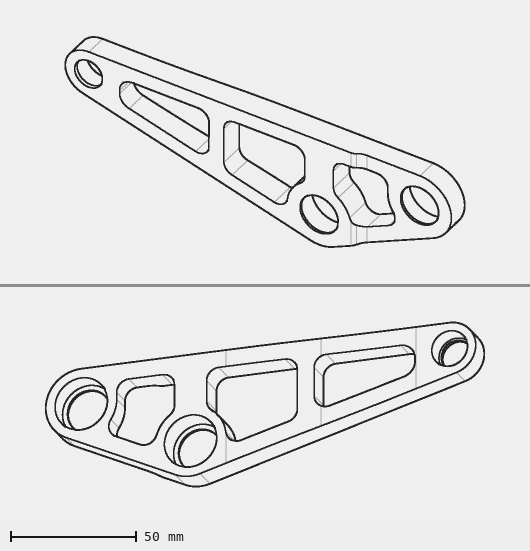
import cadquery as cq
import math

length = 181.0
height = 52.0
depth = 12.0
face_offset = 2.0
small_radius = 11.0
boss_radius = 15.0
rim = 7.0
wide_rib = 13.5
corner_radius = 5.0
left_corner_radius = 6.0

left_eye = (small_radius, -small_radius)
middle_eye = (119.8, boss_radius - height)
right_eye = (length - boss_radius, -boss_radius)

small_lip_depth = 1.8
large_lip_depth = 1.0
small_lip_diameter = 13.0
small_seat_diameter = 15.0
large_lip_diameter = 18.0
large_seat_diameter = 22.0

first_window_left = 25.7
first_window_right = 67.9
second_window_left = first_window_right + rim
second_window_right = middle_eye[0] - wide_rib / 2
third_window_left = middle_eye[0] + wide_rib / 2
third_window_right = right_eye[0] - boss_radius

front_step_start = 134.8
front_step_middle = 137.0
front_step_end = 141.0
back_rise = 1.6
back_slope_start = 25.3
back_slope_end = 105.0


def lower_tangent(center_a, radius_a, center_b, radius_b):
    """Return the downward unit normal of the line touching two circles from below."""
    dx = center_b[0] - center_a[0]
    dz = center_b[1] - center_a[1]
    angle = math.atan2(dz, dx) - math.pi / 2
    angle -= math.asin((radius_b - radius_a) / math.hypot(dx, dz))
    return math.cos(angle), math.sin(angle)


def along(center, direction, distance):
    """Point at a distance from a centre in a unit direction."""
    return center[0] + distance * direction[0], center[1] + distance * direction[1]


def toward(center, angle):
    """Point on the boss circle around a centre at an angle in radians."""
    return along(center, (math.cos(angle), math.sin(angle)), boss_radius)


def middle_angle(angle_a, angle_b):
    """Angle halfway between two angles."""
    return (angle_a + angle_b) / 2


left_normal = lower_tangent(left_eye, small_radius, middle_eye, boss_radius)
right_normal = lower_tangent(middle_eye, boss_radius, right_eye, boss_radius)
left_normal_angle = math.atan2(left_normal[1], left_normal[0])
right_normal_angle = math.atan2(right_normal[1], right_normal[0])
inner_reach = boss_radius - rim


def outline():
    """Arm silhouette: lines tangent to the three rounded eyes."""
    return (
        cq.Workplane("XZ")
        .moveTo(left_eye[0], 0)
        .lineTo(right_eye[0], 0)
        .threePointArc((length, right_eye[1]), along(right_eye, right_normal, boss_radius))
        .lineTo(*along(middle_eye, right_normal, boss_radius))
        .threePointArc(
            toward(middle_eye, middle_angle(left_normal_angle, right_normal_angle)),
            along(middle_eye, left_normal, boss_radius),
        )
        .lineTo(*along(left_eye, left_normal, small_radius))
        .threePointArc((0, left_eye[1]), (left_eye[0], 0))
        .close()
        .extrude(-depth)
    )


def thickness_profile():
    """Plan section of the arm: short step in front and long shallow step behind."""
    middle_y = face_offset * (front_step_middle - front_step_start) / (front_step_end - front_step_start)
    back_slope_middle = (back_slope_start + back_slope_end) / 2
    return (
        cq.Workplane("XY")
        .moveTo(0, 0)
        .lineTo(front_step_start, 0)
        .tangentArcPoint((front_step_middle, middle_y), relative=False)
        .tangentArcPoint((front_step_end, face_offset), relative=False)
        .lineTo(length, face_offset)
        .lineTo(length, depth)
        .lineTo(back_slope_end, depth)
        .tangentArcPoint((back_slope_middle, depth - back_rise / 2), relative=False)
        .tangentArcPoint((back_slope_start, depth - back_rise), relative=False)
        .lineTo(0, depth - back_rise)
        .close()
        .extrude(-height)
    )


def left_rim_z(x):
    """Height of the inner edge of the lower left rim."""
    x_on_rim, z_on_rim = along(middle_eye, left_normal, inner_reach)
    return z_on_rim - (x - x_on_rim) * left_normal[0] / left_normal[1]


def window(sketch):
    """Close a window outline, extrude it through the arm and round its corners."""
    return sketch.close().extrude(-depth).edges("|Y").fillet(corner_radius)


def first_window():
    """Tapered window beside the left eye."""
    return (
        cq.Workplane("XZ")
        .moveTo(first_window_left, -rim)
        .lineTo(first_window_right, -rim)
        .lineTo(first_window_right, left_rim_z(first_window_right))
        .lineTo(first_window_left, left_rim_z(first_window_left))
        .close()
        .extrude(-depth)
        .faces(">X")
        .edges("|Y")
        .fillet(corner_radius)
        .faces("<X")
        .edges("|Y")
        .fillet(left_corner_radius)
    )


rib_half_angle = math.asin(wide_rib / 2 / boss_radius)
rim_half_angle = math.acos(inner_reach / boss_radius)


def second_window():
    """Window that wraps the left of the middle eye."""
    rib_end = math.pi / 2 + rib_half_angle
    rim_end = left_normal_angle - rim_half_angle + 2 * math.pi
    return window(
        cq.Workplane("XZ")
        .moveTo(second_window_left, -rim)
        .lineTo(second_window_right, -rim)
        .lineTo(*toward(middle_eye, rib_end))
        .threePointArc(toward(middle_eye, middle_angle(rib_end, rim_end)), toward(middle_eye, rim_end))
        .lineTo(second_window_left, left_rim_z(second_window_left))
    )


def third_window():
    """Window between the middle and right eyes."""
    rib_end = math.pi / 2 - rib_half_angle
    rim_end = right_normal_angle + rim_half_angle
    boss_end = right_normal_angle - rim_half_angle
    boss_start = -math.pi
    return window(
        cq.Workplane("XZ")
        .moveTo(third_window_left, -rim)
        .lineTo(third_window_right, -rim)
        .lineTo(third_window_right, right_eye[1])
        .threePointArc(toward(right_eye, middle_angle(boss_start, boss_end)), toward(right_eye, boss_end))
        .lineTo(*toward(middle_eye, rim_end))
        .threePointArc(toward(middle_eye, middle_angle(rim_end, rib_end)), toward(middle_eye, rib_end))
    )


def eye(center, lip_diameter, seat_diameter, seat_start):
    """Through hole with a thin lip at the front face and a bearing seat behind it."""
    lip = cq.Workplane("XZ").center(*center).circle(lip_diameter / 2).extrude(-depth)
    seat = (
        cq.Workplane("XZ", origin=(0, seat_start, 0))
        .center(*center)
        .circle(seat_diameter / 2)
        .extrude(-depth)
    )
    return lip.union(seat)


result = (
    outline()
    .intersect(thickness_profile())
    .cut(first_window())
    .cut(second_window())
    .cut(third_window())
    .cut(eye(left_eye, small_lip_diameter, small_seat_diameter, small_lip_depth))
    .cut(eye(middle_eye, large_lip_diameter, large_seat_diameter, large_lip_depth))
    .cut(eye(right_eye, large_lip_diameter, large_seat_diameter, face_offset + large_lip_depth))
)